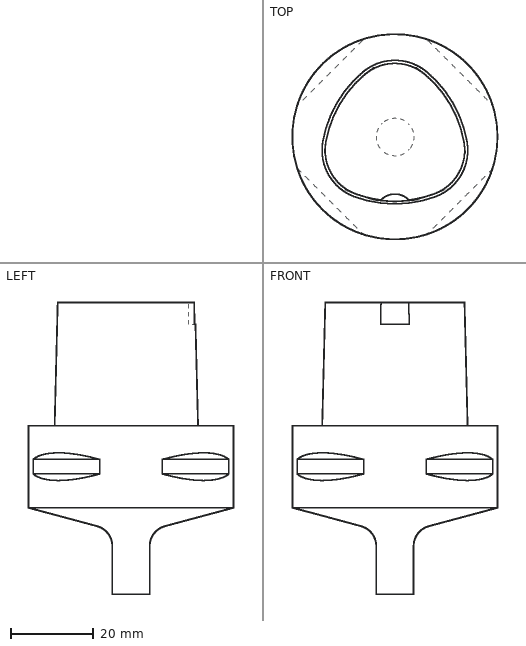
import cadquery as cq
import math

total_height = 71.0
shank_height = 29.95
flange_height = 20.0
flange_top = total_height - shank_height
flange_bottom = flange_top - flange_height

flange_radius = 50.0 / 2
stem_radius = 9.15 / 2
cone_angle = math.radians(15)
neck_fillet_radius = 5.0

lobe_reach = 18.6
side_reach = 16.3
lobe_radius = 12.1
taper_angle = math.degrees(math.atan(1 / 40))

notch_radius = 4.6
notch_depth = 5.3
notch_inner_y = -13.9

groove_floor_distance = 22.2
groove_floor_width = 3.55
groove_flank_angle = math.radians(30)
groove_angles = (45, 135, 225, 315)


def polar(radius, degrees, origin=(0, 0)):
    angle = math.radians(degrees)
    return (origin[0] + radius * math.cos(angle), origin[1] + radius * math.sin(angle))


def make_body():
    """Stem, filleted neck, cone and flange as one revolved profile."""
    arc_center_x = stem_radius + neck_fillet_radius
    cone_end_x = arc_center_x - neck_fillet_radius * math.sin(cone_angle)
    cone_end_z = flange_bottom - (flange_radius - cone_end_x) * math.tan(cone_angle)
    arc_center_z = cone_end_z - neck_fillet_radius * math.cos(cone_angle)
    arc_middle_angle = 180 - (90 - math.degrees(cone_angle)) / 2
    arc_middle = polar(neck_fillet_radius, arc_middle_angle, (arc_center_x, arc_center_z))
    return (
        cq.Workplane("XZ")
        .lineTo(stem_radius, 0)
        .lineTo(stem_radius, arc_center_z)
        .threePointArc(arc_middle, (cone_end_x, cone_end_z))
        .lineTo(flange_radius, flange_bottom)
        .lineTo(flange_radius, flange_top)
        .lineTo(0, flange_top)
        .close()
        .revolve(360, (0, 0, 0), (0, 1, 0))
    )


def make_shank():
    """Tapered shank outlined by three lobe arcs tangent to three flatter side arcs."""
    lobe_center = lobe_reach - lobe_radius
    side_radius = (lobe_radius**2 - side_reach**2 - lobe_center**2 + side_reach * lobe_center) / (
        2 * lobe_radius - 2 * side_reach + lobe_center
    )
    side_center = side_radius - side_reach
    half_side_angle = math.degrees(math.atan2(
        lobe_center * math.sin(math.radians(60)),
        side_center + lobe_center * math.cos(math.radians(60)),
    ))

    def side_point(axis, offset):
        return polar(side_radius, axis + offset, polar(-side_center, axis))

    side_axes = (-90, 30, 150)
    outline = cq.Workplane("XY", origin=(0, 0, flange_top))
    outline = outline.moveTo(*side_point(side_axes[0], -half_side_angle))
    for axis in side_axes:
        outline = outline.threePointArc(side_point(axis, 0), side_point(axis, half_side_angle))
        next_side_start = side_point(axis + 120, -half_side_angle)
        outline = outline.threePointArc(polar(lobe_reach, axis + 60), next_side_start)
    return outline.close().extrude(shank_height, taper=taper_angle)


def make_notch():
    return (
        cq.Workplane("XY", origin=(0, notch_inner_y - notch_radius, total_height - notch_depth))
        .circle(notch_radius)
        .extrude(notch_depth)
    )


def make_groove(angle):
    """Straight trapezoidal groove, tangential to the flange and widening outward."""
    depth = flange_radius - groove_floor_distance
    floor_half = groove_floor_width / 2
    mouth_half = floor_half + depth * math.tan(groove_flank_angle)
    return (
        cq.Workplane("XZ", origin=(0, 0, (flange_top + flange_bottom) / 2))
        .moveTo(groove_floor_distance, -floor_half)
        .lineTo(flange_radius, -mouth_half)
        .lineTo(flange_radius, mouth_half)
        .lineTo(groove_floor_distance, floor_half)
        .close()
        .extrude(flange_radius, both=True)
        .rotate((0, 0, 0), (0, 0, 1), angle)
    )


result = make_body().union(make_shank()).cut(make_notch())
for groove_angle in groove_angles:
    result = result.cut(make_groove(groove_angle))